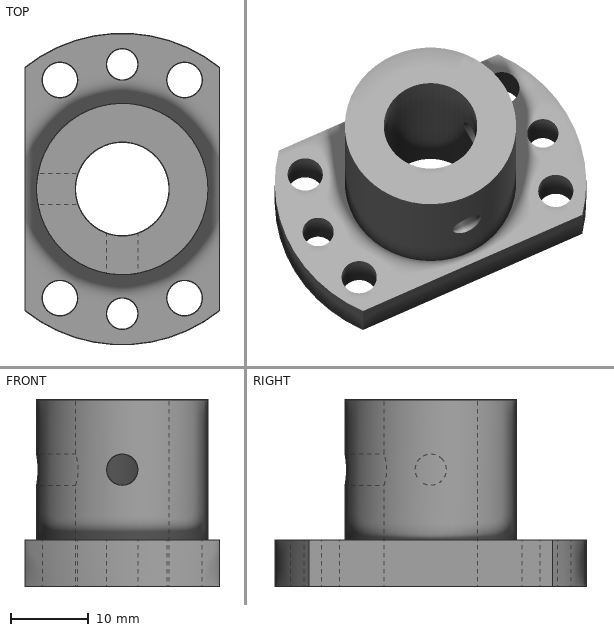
import cadquery as cq

flange_diameter = 40.0
flange_width = 25.0
flange_thickness = 6.0

barrel_diameter = 22.0
bore_diameter = 12.0
total_height = 24.0

corner_hole_diameter = 4.5
corner_hole_spacing_x = 16.0
corner_hole_spacing_y = 28.0
center_hole_diameter = 4.0
center_hole_spacing_y = 32.0

radial_hole_diameter = 4.0
radial_hole_height = (flange_thickness + total_height) / 2


def make_flange():
    disc = cq.Workplane("XY").circle(flange_diameter / 2).extrude(flange_thickness)
    flats = cq.Workplane("XY").rect(flange_width, flange_diameter).extrude(flange_thickness)
    return disc.intersect(flats)


def make_flange_holes():
    corners = (
        cq.Workplane("XY")
        .rect(corner_hole_spacing_x, corner_hole_spacing_y, forConstruction=True)
        .vertices()
        .circle(corner_hole_diameter / 2)
        .extrude(flange_thickness)
    )
    centers = (
        cq.Workplane("XY")
        .rarray(0.4, center_hole_spacing_y, 1, 2)
        .circle(center_hole_diameter / 2)
        .extrude(flange_thickness)
    )
    return corners.union(centers)


def make_radial_hole(direction):
    """Hole from the barrel axis out through one side of the barrel wall."""
    axis_point = cq.Vector(0, 0, radial_hole_height)
    return cq.Workplane(
        cq.Solid.makeCylinder(
            radial_hole_diameter / 2, barrel_diameter, axis_point, cq.Vector(*direction)
        )
    )


barrel = cq.Workplane("XY").circle(barrel_diameter / 2).extrude(total_height)
bore = cq.Workplane("XY").circle(bore_diameter / 2).extrude(total_height)

result = make_flange().union(barrel).cut(bore).cut(make_flange_holes())

for side in [(-1, 0, 0), (0, -1, 0)]:
    result = result.cut(make_radial_hole(side))